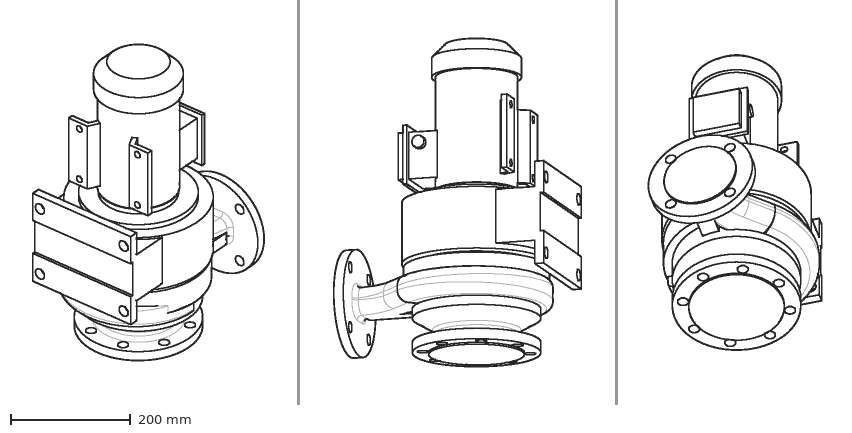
import cadquery as cq
import math

motor_top = 529.0
cap_cone_base = 506.0
cap_bottom = 474.0
motor_body_bottom = 280.0
motor_neck_bottom = 269.0
split_height = 260.0
cap_top_radius = 53.0
cap_radius = 75.0
motor_radius = 69.0
motor_neck_radius = 67.0
motor_flange_radius = 100.0

foot_bottom = 297.5
foot_top = 422.0
foot_outer_x = 85.0
foot_front_y = -80.0
foot_thickness = 9.5
foot_bend_x = 45.0
foot_leg_angle = 62.0
foot_leg_length = 32.0
foot_hole_x = 62.5
foot_hole_radius = 6.0
foot_hole_heights = (309.5, 409.5)

box_width = 80.0
box_bottom = 299.0
box_back_y = 125.0
lid_width = 100.5
lid_front_y = 106.5
lid_thickness = 7.0
knob_radius = 10.5
knob_y = 87.0
knob_height = 359.5

lantern_bottom = 154.5
lantern_radius = 125.0
lantern_neck_radius = 102.0
cover_top = 148.0
cover_radius = 122.0
suction_body_radius = 107.5
suction_body_bottom = 62.0
suction_neck_top = 40.0
suction_neck_radius = 70.5
suction_flange_top = 21.0
suction_flange_radius = 107.5
suction_face_radius = 80.0
suction_fillet = 7.5
suction_bolt_circle_radius = 90.0
suction_bolt_count = 8

raised_face_height = 3.0
flange_bolt_radius = 9.0

volute_mid_height = 101.0
volute_height = 46.5
volute_width = 65.5
spiral_radius_at_start = 119.0
spiral_growth = 0.115
spiral_travel = 228.0
spiral_sections = 13
spiral_start_rounding = 7.5
spiral_end_rounding = 19.5
exit_left_rounding = 22.0
exit_right_rounding = 15.5
bend_angle = 45.0
bend_sections = 5
bend_inner_radius = 88.0
discharge_left_x = -36.0

discharge_face_y = 225.0
discharge_flange_back_y = 204.5
discharge_flange_radius = 90.5
discharge_face_radius = 62.5
discharge_bolt_circle_radius = 72.5
discharge_bolt_count = 4
discharge_fillet = 8.0
small_gap = 0.5

bracket_width = 210.5
bracket_bottom = 124.5
bracket_top = 299.5
bracket_front_y = -150.0
bracket_thickness = 15.5
bracket_block_bottom = 164.0
bracket_block_top = 256.0
recess_bottom = 180.0
recess_top = 245.5
recess_depth = 5.5
bracket_hole_x = 90.0
bracket_hole_radius = 9.5
bracket_hole_heights = (145.0, 274.5)


def box(x_min, x_max, y_min, y_max, z_min, z_max):
    """Block between the given limits."""
    size = (x_max - x_min, y_max - y_min, z_max - z_min)
    return cq.Workplane("XY").box(*size, centered=False).translate((x_min, y_min, z_min))


def disc(radius, bottom, top):
    """Cylinder on the Z axis."""
    return cq.Workplane("XY").workplane(offset=bottom).circle(radius).extrude(top - bottom)


def disc_along_y(radius, front_y, back_y, x, z):
    """Cylinder parallel to Y, from front_y to back_y."""
    start = cq.Workplane("XZ", origin=(x, front_y, z))
    return start.circle(radius).extrude(front_y - back_y)



def make_motor_core():
    outline = [
        (0, split_height),
        (motor_flange_radius, split_height),
        (motor_flange_radius, motor_neck_bottom),
        (motor_neck_radius, motor_neck_bottom),
        (motor_neck_radius, motor_body_bottom),
        (motor_radius, motor_body_bottom),
        (motor_radius, cap_bottom),
        (cap_radius, cap_bottom),
        (cap_radius, cap_cone_base),
        (cap_top_radius, motor_top),
        (0, motor_top),
    ]
    return cq.Workplane("XZ").polyline(outline).close().revolve(360, (0, 0), (0, 1))


def make_right_foot():
    angle = math.radians(foot_leg_angle)
    leg_x = -foot_leg_length * math.cos(angle)
    leg_y = foot_leg_length * math.sin(angle)
    back_y = foot_front_y + foot_thickness
    bend_back_x = foot_bend_x + foot_thickness * math.tan(angle / 2)
    outline = [
        (foot_outer_x, foot_front_y),
        (foot_outer_x, back_y),
        (bend_back_x, back_y),
        (bend_back_x + leg_x, back_y + leg_y),
        (foot_bend_x + leg_x, foot_front_y + leg_y),
        (foot_bend_x, foot_front_y),
    ]
    foot = cq.Workplane("XY").workplane(offset=foot_bottom)
    foot = foot.polyline(outline).close().extrude(foot_top - foot_bottom)
    for height in foot_hole_heights:
        foot = foot.cut(disc_along_y(foot_hole_radius, foot_front_y, back_y, foot_hole_x, height))
    return foot


def make_terminal_box():
    box_top = box_bottom + box_width
    lid_overhang = (lid_width - box_width) / 2
    housing = box(-box_width / 2, box_width / 2, 0, box_back_y, box_bottom, box_top)
    lid = box(
        -lid_width / 2, lid_width / 2,
        lid_front_y, lid_front_y + lid_thickness,
        box_bottom - lid_overhang, box_top + lid_overhang,
    )
    knob = cq.Workplane("YZ", origin=(-lid_width / 2, knob_y, knob_height))
    knob = knob.circle(knob_radius).extrude(lid_width / 2)
    return housing.union(lid).union(knob)


def make_motor():
    right_foot = make_right_foot()
    motor = make_motor_core().union(make_terminal_box())
    motor = motor.union(right_foot).union(right_foot.mirror("YZ"))
    return motor



def make_suction_side():
    """Casing bottom, cone, neck and suction flange, with the bolt holes."""
    cone_drop = suction_body_bottom - suction_neck_top
    cone_run = suction_body_radius - suction_neck_radius
    cone_tangent = suction_fillet * math.tan(math.atan2(cone_run, cone_drop) / 2)
    cone_slant = math.hypot(cone_run, cone_drop)
    cone_end = (
        suction_neck_radius + cone_tangent * cone_run / cone_slant,
        suction_neck_top + cone_tangent * cone_drop / cone_slant,
    )
    outline = (
        cq.Workplane("XZ")
        .moveTo(0, 0)
        .lineTo(suction_face_radius, 0)
        .lineTo(suction_face_radius, raised_face_height)
        .lineTo(suction_flange_radius, raised_face_height)
        .lineTo(suction_flange_radius, suction_flange_top)
        .lineTo(suction_neck_radius + suction_fillet, suction_flange_top)
        .radiusArc((suction_neck_radius, suction_flange_top + suction_fillet), suction_fillet)
        .lineTo(suction_neck_radius, suction_neck_top - cone_tangent)
        .radiusArc(cone_end, suction_fillet)
        .lineTo(suction_body_radius, suction_body_bottom)
        .lineTo(suction_body_radius, volute_mid_height)
        .lineTo(0, volute_mid_height)
        .close()
    )
    body = outline.revolve(360, (0, 0), (0, 1))
    for index in range(suction_bolt_count):
        angle = math.radians((index + 0.5) * 360 / suction_bolt_count)
        x = suction_bolt_circle_radius * math.cos(angle)
        y = suction_bolt_circle_radius * math.sin(angle)
        hole = disc(flange_bolt_radius, 0, suction_flange_top).translate((x, y, 0))
        body = body.cut(hole)
    return body


def spiral_radius(travel):
    return spiral_radius_at_start + spiral_growth * travel


def pipe_section(origin, outward, outer_rounding, inner_rounding):
    """Upright section wire of the volute.

    It starts at the outer wall, at the given (x, y) origin, and reaches inward
    against the horizontal direction outward.
    """
    plane = cq.Plane(
        origin=(origin[0], origin[1], volute_mid_height),
        xDir=(outward[0], outward[1], 0),
        normal=(outward[1], -outward[0], 0),
    )
    half = volute_height / 2
    return (
        cq.Workplane(plane)
        .moveTo(inner_rounding - volute_width, -half)
        .lineTo(-outer_rounding, -half)
        .radiusArc((0, -half + outer_rounding), -outer_rounding)
        .lineTo(0, half - outer_rounding)
        .radiusArc((-outer_rounding, half), -outer_rounding)
        .lineTo(inner_rounding - volute_width, half)
        .radiusArc((-volute_width, half - inner_rounding), -inner_rounding)
        .lineTo(-volute_width, -half + inner_rounding)
        .radiusArc((inner_rounding - volute_width, -half), -inner_rounding)
        .close()
        .val()
    )


def spiral_section(travel):
    share = travel / spiral_travel
    rounding = spiral_start_rounding + share * (spiral_end_rounding - spiral_start_rounding)
    angle = math.radians(-travel)
    outward = (math.cos(angle), math.sin(angle))
    radius = spiral_radius(travel)
    origin = (radius * outward[0], radius * outward[1])
    return pipe_section(origin, outward, rounding, spiral_start_rounding)


def make_spiral():
    step = spiral_travel / (spiral_sections - 1)
    wires = [spiral_section(index * step) for index in range(spiral_sections)]
    return cq.Workplane(cq.Solid.makeLoft(wires))


def make_discharge_pipe():
    """Straight run leaving the spiral, then a bend that ends along +Y."""
    slant = math.radians(bend_angle)
    outward = (-math.cos(slant), math.sin(slant))
    spiral_end = math.radians(-spiral_travel)
    start_x = spiral_radius(spiral_travel) * math.cos(spiral_end)
    start_y = spiral_radius(spiral_travel) * math.sin(spiral_end)
    bend_axis_x = discharge_left_x - bend_inner_radius
    bend_start_x = bend_axis_x + bend_inner_radius * math.cos(slant)
    bend_start_y = start_y + (bend_start_x - start_x) / math.tan(slant)
    bend_axis_y = bend_start_y + bend_inner_radius * math.sin(slant)

    def straight_section(origin):
        return pipe_section(origin, outward, spiral_end_rounding, spiral_start_rounding)

    def bend_section(share):
        turn = slant * (1 - share)
        toward_axis = (-math.cos(turn), math.sin(turn))
        origin = (
            bend_axis_x - bend_inner_radius * toward_axis[0],
            bend_axis_y - bend_inner_radius * toward_axis[1],
        )
        outer = spiral_end_rounding + share * (exit_left_rounding - spiral_end_rounding)
        inner = spiral_start_rounding + share * (exit_right_rounding - spiral_start_rounding)
        return pipe_section(origin, toward_axis, outer, inner)

    straight_ends = [
        straight_section((start_x, start_y)),
        straight_section((bend_start_x, bend_start_y)),
    ]
    bend_wires = [bend_section(index / (bend_sections - 1)) for index in range(bend_sections)]
    straight = cq.Workplane(cq.Solid.makeLoft(straight_ends, True))
    bend = cq.Workplane(cq.Solid.makeLoft(bend_wires))
    return straight.union(bend)


def make_web():
    """Web between the curved pipe and the casing, up to the volute mid height."""
    web_right_x = discharge_left_x + volute_width
    bottom = volute_mid_height - volute_height / 2
    back_y = discharge_flange_back_y - discharge_fillet
    return box(0, web_right_x, 0, back_y, bottom, volute_mid_height)


def make_discharge_flange():
    rim_y = discharge_face_y - raised_face_height
    flange = disc_along_y(
        discharge_flange_radius, discharge_flange_back_y, rim_y, 0, volute_mid_height)
    face = disc_along_y(discharge_face_radius, rim_y, discharge_face_y, 0, volute_mid_height)
    flange = flange.union(face)
    for index in range(discharge_bolt_count):
        angle = math.radians((index + 0.5) * 360 / discharge_bolt_count)
        x = discharge_bolt_circle_radius * math.cos(angle)
        z = volute_mid_height + discharge_bolt_circle_radius * math.sin(angle)
        hole = disc_along_y(flange_bolt_radius, discharge_flange_back_y, discharge_face_y, x, z)
        flange = flange.cut(hole)
    return flange


def make_discharge():
    """Pipe and flange, with a fillet where the pipe meets the flange."""
    root = cq.selectors.BoxSelector(
        (-volute_width, discharge_flange_back_y - small_gap, volute_mid_height - volute_height),
        (volute_width, discharge_flange_back_y + small_gap, volute_mid_height + volute_height),
        boundingbox=True,
    )
    discharge = make_discharge_pipe().union(make_discharge_flange())
    return discharge.edges(root).fillet(discharge_fillet)


def make_bracket():
    half_width = bracket_width / 2
    plate_back_y = bracket_front_y + bracket_thickness
    plate = box(-half_width, half_width, bracket_front_y, plate_back_y, bracket_bottom, bracket_top)
    for x in (-bracket_hole_x, bracket_hole_x):
        for height in bracket_hole_heights:
            hole = disc_along_y(bracket_hole_radius, bracket_front_y, plate_back_y, x, height)
            plate = plate.cut(hole)
    lantern_edge_y = -math.sqrt(lantern_radius ** 2 - half_width ** 2)
    block = box(
        -half_width, half_width,
        plate_back_y, lantern_edge_y,
        bracket_block_bottom, bracket_block_top,
    )
    recess = box(
        -half_width, half_width,
        bracket_front_y, bracket_front_y + recess_depth,
        recess_bottom, recess_top,
    )
    return plate.union(block).cut(recess)


def make_pump():
    pump = disc(lantern_radius, lantern_bottom, split_height)
    pump = pump.union(disc(lantern_neck_radius, cover_top, lantern_bottom))
    pump = pump.union(disc(cover_radius, volute_mid_height, cover_top))
    pump = pump.union(make_suction_side())
    pump = pump.union(make_spiral())
    pump = pump.union(make_discharge())
    pump = pump.union(make_web())
    pump = pump.union(make_bracket())
    return pump


motor = make_motor()
pump = make_pump()
result = cq.Compound.makeCompound([*motor.solids().vals(), *pump.solids().vals()])